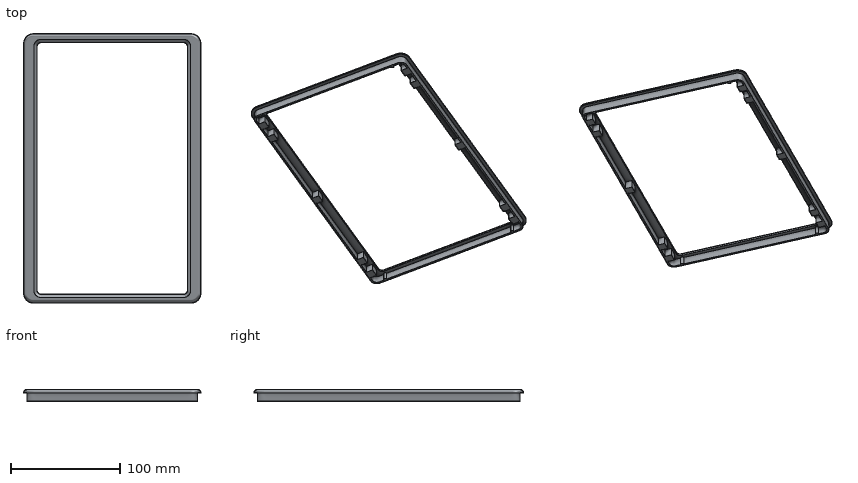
import cadquery as cq

width_x = 162.5
length_y = 247.0
height = 10.9

rim_height = 3.2
side_rim_width = 12.4
end_rim_width = 8.2
rim_corner_radius = 9.1
rim_round = 3.0
opening_corner_radius = 3.7
bevel_width = 3.0
bevel_height = 1.2

skirt_inset = 3.0
skirt_thickness = 1.7
skirt_height = height - rim_height

tab_width = 8.0
tab_setback = 1.5
tab_places_y = [-106.5, -88.5, 0, 88.5, 106.5]

rib_diameter = 3.0
rib_place_x = 65.7

opening_x = width_x - 2 * side_rim_width
opening_y = length_y - 2 * end_rim_width


def rounded_block(size_x, size_y, corner_radius, z_bottom, block_height):
    """Upright block, centred on the Z axis, with rounded vertical corners."""
    return (
        cq.Workplane("XY", origin=(0, 0, z_bottom))
        .rect(size_x, size_y)
        .extrude(block_height)
        .edges("|Z")
        .fillet(corner_radius)
    )


def make_rim():
    plate = rounded_block(width_x, length_y, rim_corner_radius, skirt_height, rim_height)
    plate = plate.faces(">Z").edges().fillet(rim_round)
    opening = rounded_block(opening_x, opening_y, opening_corner_radius, skirt_height, rim_height)
    rim = plate.cut(opening)
    inner_edges = rim.faces(">Z").wires(cq.selectors.LengthNthSelector(0)).edges()
    return inner_edges.chamfer(bevel_width, bevel_height)


def make_skirt():
    outer_x = width_x - 2 * skirt_inset
    outer_y = length_y - 2 * skirt_inset
    outer_radius = rim_corner_radius - skirt_inset
    inner_x = outer_x - 2 * skirt_thickness
    inner_y = outer_y - 2 * skirt_thickness
    inner_radius = outer_radius - skirt_thickness
    outside = rounded_block(outer_x, outer_y, outer_radius, 0, skirt_height)
    inside = rounded_block(inner_x, inner_y, inner_radius, 0, skirt_height)
    return outside.cut(inside)


def make_tabs():
    """Tabs along both long sides, each reaching halfway into the skirt wall."""
    wall_middle = skirt_inset + skirt_thickness / 2
    tab_depth = side_rim_width - tab_setback - wall_middle
    tab_x = width_x / 2 - wall_middle - tab_depth / 2
    points = [(sign * tab_x, y) for sign in (-1, 1) for y in tab_places_y]
    return cq.Workplane("XY").pushPoints(points).rect(tab_depth, tab_width).extrude(skirt_height)


def make_ribs():
    """Round ribs near the corners, centred on the inner face of each end wall."""
    rib_y = length_y / 2 - skirt_inset - skirt_thickness
    ribs = cq.Workplane("XY").rect(2 * rib_place_x, 2 * rib_y, forConstruction=True).vertices()
    return ribs.circle(rib_diameter / 2).extrude(skirt_height)


result = make_rim().union(make_skirt()).union(make_tabs()).union(make_ribs())